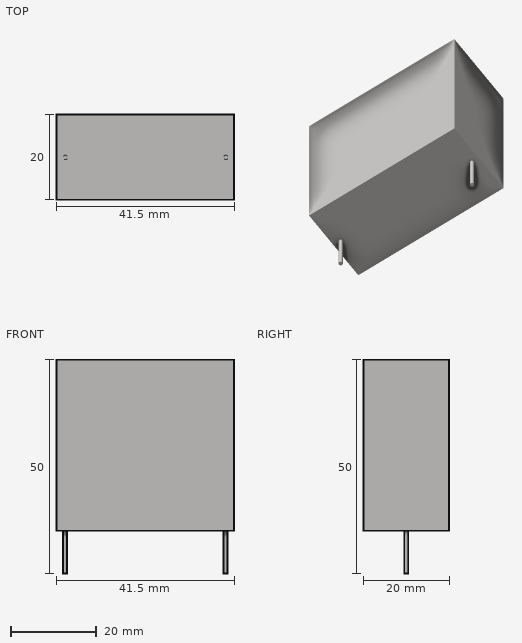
import cadquery as cq

case_length = 41.5
case_width = 20
case_height = 40

pin_diameter = 1
pin_length = 10
pin_spacing = 37.5

case = cq.Workplane("XY").box(case_length, case_width, case_height, centered=(True, True, False))

pins = (
    cq.Workplane("XY")
    .pushPoints([(-pin_spacing / 2, 0), (pin_spacing / 2, 0)])
    .circle(pin_diameter / 2)
    .extrude(-pin_length)
)

result = case.union(pins)